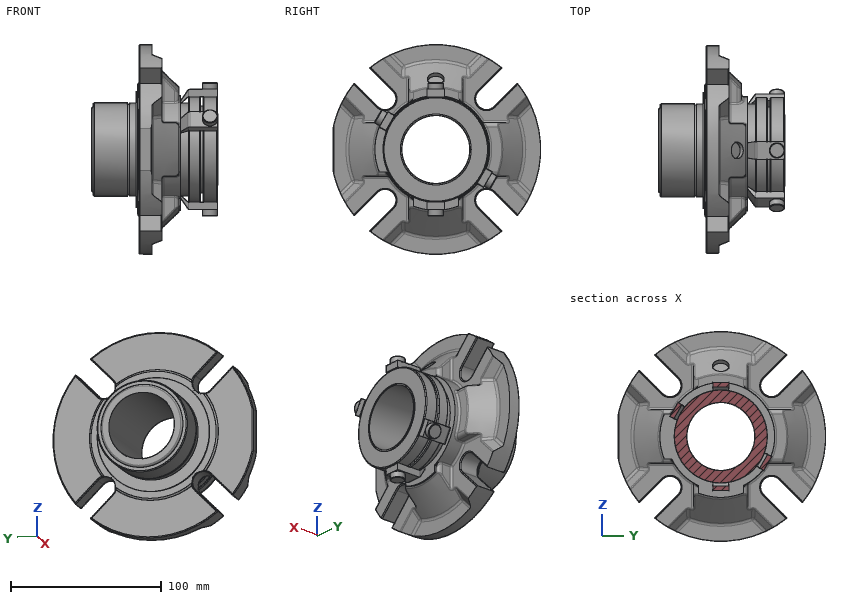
import cadquery as cq
import math

X_SLEEVE_RIM = 1.3
X_SLEEVE_END = 23.8
X_GROOVE_END = 25.4
X_GASKET = 29.7
X_BOSS = 30.7
X_FLANGE = 31.5
X_FLANGE_BACK = 40.3
X_PAD_BACK = 47.0
X_SHORT_LOBE_END = 55.4
X_LOBE_END = 58.3
X_COLLAR_END = 59.3
X_RING = 64.4
X_RING_END = 72.7
X_DRIVE = 74.0
X_DRIVE_END = 83.8
X_TUBE_END = 84.2

FLANGE_R = 69.7
FLAT_Y = -68.3
RIM_CHAMFER = 0.7
SLOT_WIDTH = 14.4
SLOT_FLOOR_R = 40.5
SLOT_ANGLES = (45, 135, 225, 315)
PAD_HALF_BASE = 23.4
PAD_HALF_TOP = 18.0
VALLEY_FILLET = 2.8

CONE_R_BASE = 58.5
CONE_R_END = 41.4
CONE_SLOPE = (CONE_R_BASE - CONE_R_END) / (X_LOBE_END - X_FLANGE_BACK)
HUB_R = 35.8
LOBE_HALF_WIDTH = 18.0
LOBE_END_ROUND = 3.0
POCKET_ROUND = 1.4
LOBE_CREST_ROUND = 1.1
LOBE_STEP_R = 40.5
PORT_DIA = 11.0
PORT_X = 52.5
PORT_DEPTH = 3.0

BORE_DIA = 45.0
SLEEVE_DIA = 62.2
SHOULDER_DIA = 61.9
GROOVE_DIA = 60.4
TIP_DIA = 56.3
TIP_ROUND = 1.19
GASKET_DIA = 77.3
BOSS_R = 44.3
RING_DIA = 70.1
GAP_DIA = 57.9
TUBE_DIA = 47.1
EDGE_CHAMFER = 0.7

CLIP_ANGLES = (90, 150, 270, 330)
CLIP_WIDTH = 11.9
CLIP_TIP_WIDTH = 10.0
CLIP_INNER_R = 35.0
CLIP_OUTER_R = 40.0
CLIP_TOE_INNER_R = 30.4
CLIP_TOE_OUTER_R = 32.4
CLIP_BEND_X = 64.5
CLIP_BEND_ROUND = 1.7
PIN_DIA = 10.0
PIN_X = 78.8
PIN_TOP_R = 44.3
PIN_CHAMFER = 0.4

AXIS_START = (0, 0, 0)
AXIS_END = (1, 0, 0)


def turned(x_start, x_end, dia):
    """Disc about the X axis between two stations."""
    return cq.Workplane("YZ").workplane(offset=x_start).circle(dia / 2).extrude(x_end - x_start)


def placed(shape, angle):
    """Turn a shape built along +Y about the X axis."""
    return shape.rotate(AXIS_START, AXIS_END, angle)


def block(x_start, x_end, y_start, y_end, half_z):
    return cq.Workplane("XY").box(
        x_end - x_start, y_end - y_start, 2 * half_z, centered=(False, False, True)
    ).translate((x_start, y_start, 0))


def slot_cutter(flared):
    """Open slot along +Y with a round floor, optionally widened at both flange faces."""
    centre_distance = SLOT_FLOOR_R + SLOT_WIDTH / 2
    outer_end = 1.5 * FLANGE_R
    half = SLOT_WIDTH / 2

    def outline(x, margin):
        radius = half + margin
        return (
            cq.Workplane("YZ").workplane(offset=x)
            .moveTo(outer_end, radius)
            .lineTo(centre_distance, radius)
            .threePointArc((centre_distance - radius, 0), (centre_distance, -radius))
            .lineTo(outer_end, -radius)
            .close()
        )

    cutter = outline(X_GASKET, 0).extrude(X_LOBE_END - X_GASKET)
    if flared:
        cutter = cutter.union(outline(X_FLANGE, RIM_CHAMFER).extrude(RIM_CHAMFER, taper=45))
        back_flare = outline(X_PAD_BACK, RIM_CHAMFER).extrude(-RIM_CHAMFER, taper=45)
        cutter = cutter.union(back_flare)
    return cutter


def make_flange():
    plate = turned(X_FLANGE, X_FLANGE_BACK, 2 * FLANGE_R)
    plate = plate.cut(block(X_FLANGE, X_FLANGE_BACK, -2 * FLANGE_R, FLAT_Y, FLANGE_R))
    plate = plate.faces("<X").chamfer(RIM_CHAMFER)

    pad = (
        cq.Workplane("XZ")
        .polyline([
            (X_FLANGE_BACK, -PAD_HALF_BASE),
            (X_PAD_BACK, -PAD_HALF_TOP),
            (X_PAD_BACK, PAD_HALF_TOP),
            (X_FLANGE_BACK, PAD_HALF_BASE),
        ])
        .close()
        .extrude(-1.1 * FLANGE_R)
        .intersect(turned(X_FLANGE_BACK, X_PAD_BACK, 2 * FLANGE_R))
    )
    for angle in SLOT_ANGLES:
        plate = plate.union(placed(pad, angle))
    plate = plate.union(make_cone())
    plate = plate.newObject(valley_edges(plate)).fillet(VALLEY_FILLET)

    flat_back_edge = cq.selectors.NearestToPointSelector((X_FLANGE_BACK, FLAT_Y, 0))
    return plate.edges(flat_back_edge).chamfer(RIM_CHAMFER)


def valley_edges(plate):
    """Concave edges at the foot of the pads and of the cone."""
    clear_r = abs(FLAT_Y) - RIM_CHAMFER
    picked = []
    for edge in plate.edges().vals():
        middle = edge.positionAt(0.5)
        at_valley_depth = X_FLANGE < middle.x - RIM_CHAMFER and middle.x < X_PAD_BACK - RIM_CHAMFER
        if at_valley_depth and math.hypot(middle.y, middle.z) < clear_r:
            picked.append(edge)
    return picked


def make_cone():
    """Solid cone from the flange back to the lobe ends."""
    cone = (
        cq.Workplane("XY")
        .polyline([
            (X_FLANGE_BACK, 0),
            (X_FLANGE_BACK, CONE_R_BASE),
            (X_LOBE_END, CONE_R_END),
            (X_LOBE_END, 0),
        ])
        .close()
        .revolve(360, AXIS_START, AXIS_END)
    )
    return placed(cone, SLOT_ANGLES[0])


def make_lobe_prism(x_end):
    """Straight-sided outline of a lobe along +Y with rounded end corners."""
    prism = block(X_FLANGE_BACK, x_end, 0, 2 * FLANGE_R, LOBE_HALF_WIDTH)
    return prism.edges("|Y and >X").fillet(LOBE_END_ROUND)


def make_pockets():
    """Space around the hub and between the lobes, with its inner corners rounded."""
    x_open = X_LOBE_END + 2 * POCKET_ROUND
    space = turned(X_PAD_BACK, x_open, 2 * CONE_R_BASE)
    space = space.cut(turned(X_PAD_BACK, x_open, 2 * HUB_R))
    space = space.cut(make_lobe_prism(X_SHORT_LOBE_END))
    full_lobe = make_lobe_prism(X_LOBE_END)
    for angle in (90, 180, 270):
        space = space.cut(placed(full_lobe, angle))
    corners = []
    for edge in space.edges().vals():
        middle = edge.positionAt(0.5)
        radius = math.hypot(middle.y, middle.z)
        on_hub = abs(radius - HUB_R) < 0.01 and middle.x < x_open - 0.01
        on_floor = abs(middle.x - X_PAD_BACK) < 0.01 and radius < CONE_R_BASE - 0.01
        if on_hub or on_floor:
            corners.append(edge)
    return space.newObject(corners).fillet(POCKET_ROUND)


def round_lobe_crests(body):
    """Round the edges between the conical lobe faces and the pocket walls."""
    crests = [
        edge for edge in body.faces("%CONE").edges().vals()
        if X_PAD_BACK + POCKET_ROUND < edge.positionAt(0.5).x < X_LOBE_END - 0.01
    ]
    return body.newObject(crests).fillet(LOBE_CREST_ROUND)


def make_port():
    """Blind hole drilled square to the cone on the +Z lobe."""
    port_r = CONE_R_BASE - CONE_SLOPE * (PORT_X - X_FLANGE_BACK)
    normal = cq.Vector(CONE_SLOPE, 0, 1).normalized()
    mouth = cq.Plane(origin=(PORT_X, 0, port_r), xDir=(0, 1, 0), normal=normal.toTuple())
    return cq.Workplane(mouth).circle(PORT_DIA / 2).extrude(PORT_DEPTH, both=True)


def make_collar():
    """Thin collar at the lobe ends; it is taller on the -Y and -Z lobes."""
    collar = turned(X_LOBE_END, X_COLLAR_END, 2 * HUB_R)
    step = turned(X_LOBE_END, X_COLLAR_END, 2 * LOBE_STEP_R).intersect(
        block(X_LOBE_END, X_COLLAR_END, 0, FLANGE_R, LOBE_HALF_WIDTH - LOBE_END_ROUND)
    )
    for angle in (180, 270):
        collar = collar.union(placed(step, angle))
    return collar


def make_sleeve():
    tip = turned(0, X_SLEEVE_RIM, TIP_DIA).faces("<X").edges().fillet(TIP_ROUND)
    sleeve = turned(X_SLEEVE_RIM, X_SLEEVE_END, SLEEVE_DIA).faces("<X").chamfer(EDGE_CHAMFER)
    groove = turned(X_SLEEVE_END, X_GROOVE_END, GROOVE_DIA)
    shoulder = turned(X_GROOVE_END, X_GASKET, SHOULDER_DIA)
    gasket = turned(X_GASKET, X_BOSS, GASKET_DIA)
    return tip.union(sleeve).union(groove).union(shoulder).union(gasket)


def make_boss():
    boss = turned(X_BOSS, X_FLANGE, 2 * BOSS_R)
    return boss.faces("<X").chamfer(0.9 * (X_FLANGE - X_BOSS), 1.3)


def make_rings():
    neck = turned(X_COLLAR_END, X_RING, SHOULDER_DIA)
    ring = turned(X_RING, X_RING_END, RING_DIA).edges().chamfer(EDGE_CHAMFER)
    gap = turned(X_RING_END, X_DRIVE, GAP_DIA)
    drive = turned(X_DRIVE, X_DRIVE_END, RING_DIA).edges().chamfer(EDGE_CHAMFER)
    tube = turned(X_DRIVE_END, X_TUBE_END, TUBE_DIA)
    return neck.union(ring).union(gap).union(drive).union(tube)


def make_clip():
    """Bent clip along +Y, narrowing toward its toe, with a pin at its free end."""
    bar = (
        cq.Workplane("XY")
        .polyline([
            (X_COLLAR_END, CLIP_TOE_INNER_R),
            (X_RING, CLIP_INNER_R),
            (X_DRIVE_END, CLIP_INNER_R),
            (X_DRIVE_END, CLIP_OUTER_R),
            (CLIP_BEND_X, CLIP_OUTER_R),
            (X_COLLAR_END, CLIP_TOE_OUTER_R),
        ])
        .close()
        .extrude(CLIP_WIDTH / 2, both=True)
        .edges(cq.selectors.NearestToPointSelector((CLIP_BEND_X, CLIP_OUTER_R, 0)))
        .fillet(CLIP_BEND_ROUND)
    )
    plan = (
        cq.Workplane("XZ")
        .polyline([
            (X_COLLAR_END, -CLIP_TIP_WIDTH / 2),
            (CLIP_BEND_X, -CLIP_WIDTH / 2),
            (X_DRIVE_END, -CLIP_WIDTH / 2),
            (X_DRIVE_END, CLIP_WIDTH / 2),
            (CLIP_BEND_X, CLIP_WIDTH / 2),
            (X_COLLAR_END, CLIP_TIP_WIDTH / 2),
        ])
        .close()
        .extrude(-FLANGE_R)
    )
    pin = (
        cq.Workplane("XZ", origin=(PIN_X, CLIP_INNER_R, 0))
        .circle(PIN_DIA / 2)
        .extrude(CLIP_INNER_R - PIN_TOP_R)
        .faces(">Y").chamfer(PIN_CHAMFER)
    )
    return bar.intersect(plan).union(pin)


def make_part():
    flange = round_lobe_crests(make_flange().cut(make_pockets())).cut(make_port())
    boss = make_boss()
    flared_slot = slot_cutter(flared=True)
    plain_slot = slot_cutter(flared=False)
    for angle in SLOT_ANGLES:
        flange = flange.cut(placed(flared_slot, angle))
        boss = boss.cut(placed(plain_slot, angle))
    body = make_sleeve().union(boss).union(flange).union(make_collar()).union(make_rings())
    clip = make_clip()
    for angle in CLIP_ANGLES:
        body = body.union(placed(clip, angle))
    return body.cut(turned(0, X_TUBE_END, BORE_DIA))


result = make_part()